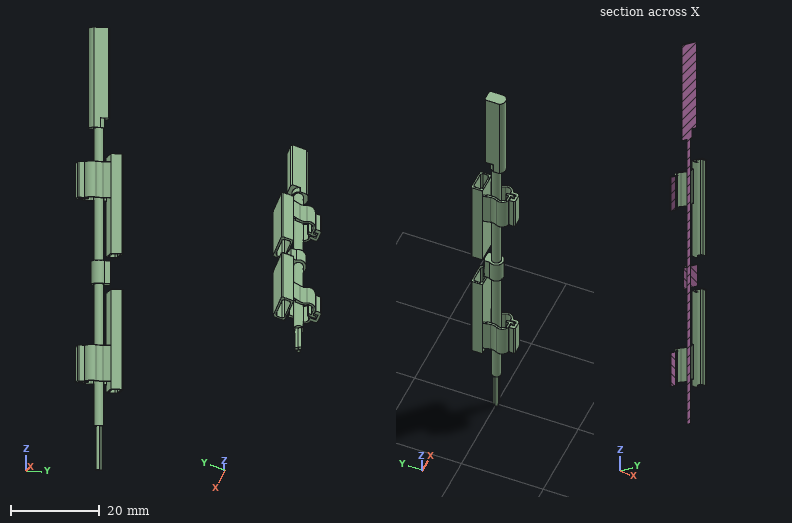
import cadquery as cq
import math


overall_length = 100.95
wire_length = 10.0
wire_diameter = 0.8
wire_pitch = 0.78
cable_diameter = 2.3
sensor_length = 22.9
sensor_half_width = 1.5
sensor_front = -2.32
sensor_front_crease = -1.42
sensor_back = 2.35
sensor_back_chamfer = 0.35
sensor_bottom = overall_length - sensor_length
neck_height = 2.2
neck_radius = 1.43
neck_step = 0.15

sleeve_length = 5.25
sleeve_radius = 1.8
sleeve_half_width = 1.43
sleeve_back = 2.7
sleeve_back_crease = 2.4

clip_length = 22.85
clamp_length = 8.2
clamp_offset = 1.85
clip_span = 53.85
clip_center = 45.05
clip_half_width = 2.7
rail_back = 5.15
rail_front = 2.25
rail_wall = 0.45
rail_front_wall = 0.38
rail_chamfer = (0.2, 0.35)
rail_bore_chamfer = 0.42
clamp_wall = 0.5
shoulder_half_width = 2.58
ledge = (1.75, 1.5)
waist_top = (2.23, 0.5)
waist_middle = (2.23, -0.3)
bow_radius = 1.8
bow_center = (clip_half_width - bow_radius, -1.86)
bow_start_angle = 25
bow_end_angle = 70
latch_front = -rail_back
latch_half_width = 1.4
latch_chamfer = (0.25, 0.4)
latch_top = -3.66
latch_wall_left = 0.85
latch_wall_right = 0.75
latch_floor = 0.65
tongue_center = 0.1
tongue_width = 0.6
tongue_top = -2.4
tongue_end = -4.3


def sensor_outline():
    """Flat sides and back with a rounded front, drawn at the lower end of the sensor."""
    return (
        cq.Workplane("XY")
        .workplane(offset=sensor_bottom)
        .moveTo(-sensor_half_width, sensor_back)
        .lineTo(-sensor_half_width, sensor_front_crease)
        .threePointArc((0, sensor_front), (sensor_half_width, sensor_front_crease))
        .lineTo(sensor_half_width, sensor_back)
        .close()
    )


def make_sensor():
    housing = sensor_outline().extrude(sensor_length).edges("|Z and >Y").chamfer(sensor_back_chamfer)
    notch_depth = sensor_back - neck_step
    notch = (
        cq.Workplane("XY")
        .box(2 * sensor_half_width, notch_depth, neck_height, centered=(True, False, False))
        .translate((0, neck_step, sensor_bottom))
    )
    neck = cq.Workplane("XY").workplane(offset=sensor_bottom).circle(neck_radius).extrude(neck_height)
    cable = (
        cq.Workplane("XY")
        .workplane(offset=wire_length)
        .circle(cable_diameter / 2)
        .extrude(sensor_bottom - wire_length)
    )
    sensor = housing.cut(notch).union(neck).union(cable)
    ring_radius = wire_pitch / math.sqrt(3)
    for angle in (90, 210, 330):
        x = ring_radius * math.cos(math.radians(angle))
        y = ring_radius * math.sin(math.radians(angle))
        wire = cq.Workplane("XY").center(x, y).circle(wire_diameter / 2).extrude(wire_length)
        sensor = sensor.union(wire)
    return sensor


def make_sleeve():
    """Round sleeve with a block along its back, bored for the cable."""
    bottom = clip_center - sleeve_length / 2
    plane = cq.Workplane("XY").workplane(offset=bottom)
    block = (
        plane.moveTo(-sleeve_half_width, 0)
        .lineTo(sleeve_half_width, 0)
        .lineTo(sleeve_half_width, sleeve_back_crease)
        .threePointArc((0, sleeve_back), (-sleeve_half_width, sleeve_back_crease))
        .close()
        .extrude(sleeve_length)
    )
    bore = plane.circle(cable_diameter / 2).extrude(sleeve_length)
    return plane.circle(sleeve_radius).extrude(sleeve_length).union(block).cut(bore)


def bow_point(radius, angle):
    """Point on the round stretch of the right arm; positive angles lie below its centre."""
    turn = math.radians(angle)
    return (bow_center[0] + radius * math.cos(turn), bow_center[1] - radius * math.sin(turn))


def make_rail(bottom):
    """Rectangular tube with chamfered back edges and bore corners."""
    chamfer_x, chamfer_y = rail_chamfer
    bore_back = rail_back - rail_wall
    bore_front = rail_front + rail_front_wall
    plane = cq.Workplane("XY").workplane(offset=bottom)
    outside = (
        plane.moveTo(-clip_half_width, rail_front)
        .lineTo(clip_half_width, rail_front)
        .lineTo(clip_half_width, rail_back - chamfer_y)
        .lineTo(clip_half_width - chamfer_x, rail_back)
        .lineTo(chamfer_x - clip_half_width, rail_back)
        .lineTo(-clip_half_width, rail_back - chamfer_y)
        .close()
        .extrude(clip_length)
    )
    bore = (
        plane.center(0, (bore_back + bore_front) / 2)
        .rect(2 * (clip_half_width - rail_wall), bore_back - bore_front)
        .extrude(clip_length)
        .edges("|Z")
        .chamfer(rail_bore_chamfer)
    )
    return outside.cut(bore)


def make_arm(bottom, end_x):
    """Right arm: tapered shoulder, waist and round bow, ending at X = end_x."""
    inner_radius = bow_radius - clamp_wall
    bow_middle_angle = (bow_end_angle - bow_start_angle) / 2
    arm_bottom = bow_point(bow_radius, bow_end_angle)[1]
    return (
        cq.Workplane("XY")
        .workplane(offset=bottom)
        .moveTo(shoulder_half_width, rail_front)
        .lineTo(*waist_top)
        .threePointArc(waist_middle, bow_point(bow_radius, -bow_start_angle))
        .threePointArc(bow_point(bow_radius, bow_middle_angle), bow_point(bow_radius, bow_end_angle))
        .lineTo(end_x, arm_bottom)
        .lineTo(end_x, arm_bottom + clamp_wall)
        .lineTo(bow_point(inner_radius, bow_end_angle)[0], arm_bottom + clamp_wall)
        .threePointArc(bow_point(inner_radius, bow_middle_angle), bow_point(inner_radius, -bow_start_angle))
        .threePointArc(
            (waist_middle[0] - clamp_wall, waist_middle[1]),
            (waist_top[0] - clamp_wall, waist_top[1]),
        )
        .lineTo(*ledge)
        .lineTo(shoulder_half_width - clamp_wall, ledge[1])
        .lineTo(shoulder_half_width - clamp_wall, rail_front)
        .close()
        .extrude(clamp_length)
    )


def make_tongue(bottom):
    """Locking tongue of the left arm; its rounded end sits inside the latch."""
    end_radius = tongue_width / 2
    end_center_y = tongue_end + end_radius
    left = tongue_center - end_radius
    right = tongue_center + end_radius
    return (
        cq.Workplane("XY")
        .workplane(offset=bottom)
        .moveTo(left, tongue_top)
        .lineTo(left, end_center_y)
        .threePointArc((tongue_center, tongue_end), (right, end_center_y))
        .lineTo(right, tongue_top)
        .close()
        .extrude(clamp_length)
    )


def make_latch(bottom):
    """Trough at the end of the right arm that receives the tongue."""
    left = -latch_half_width
    right = latch_half_width
    cavity_left = left + latch_wall_left
    cavity_right = right - latch_wall_right
    chamfer_x, chamfer_y = latch_chamfer
    floor_y = latch_front + latch_floor
    arm_joint_y = bow_point(bow_radius - clamp_wall, bow_end_angle)[1]
    return (
        cq.Workplane("XY")
        .workplane(offset=bottom)
        .moveTo(left, latch_top)
        .lineTo(left, latch_front + chamfer_y)
        .lineTo(left + chamfer_x, latch_front)
        .lineTo(right - chamfer_x, latch_front)
        .lineTo(right, latch_front + chamfer_y)
        .lineTo(right, arm_joint_y)
        .lineTo(cavity_right, arm_joint_y)
        .lineTo(cavity_right, floor_y)
        .lineTo(cavity_left, floor_y)
        .lineTo(cavity_left, latch_top)
        .close()
        .extrude(clamp_length)
    )


def make_clip(rail_bottom, clamp_bottom):
    right_arm = make_arm(clamp_bottom, latch_half_width - latch_wall_right)
    left_arm = make_arm(clamp_bottom, -tongue_center).mirror("YZ")
    clip = make_rail(rail_bottom).union(right_arm).union(left_arm)
    return clip.union(make_tongue(clamp_bottom)).union(make_latch(clamp_bottom))


sensor = make_sensor()
sleeve = make_sleeve()

upper_end = clip_center + clip_span / 2
lower_end = clip_center - clip_span / 2
clip_places = [
    (upper_end - clip_length, upper_end - clamp_offset - clamp_length),
    (lower_end, lower_end + clamp_offset),
]
clips = [make_clip(rail_bottom, clamp_bottom) for rail_bottom, clamp_bottom in clip_places]

result = cq.Compound.makeCompound([sensor.val(), sleeve.val(), *[clip.val() for clip in clips]])